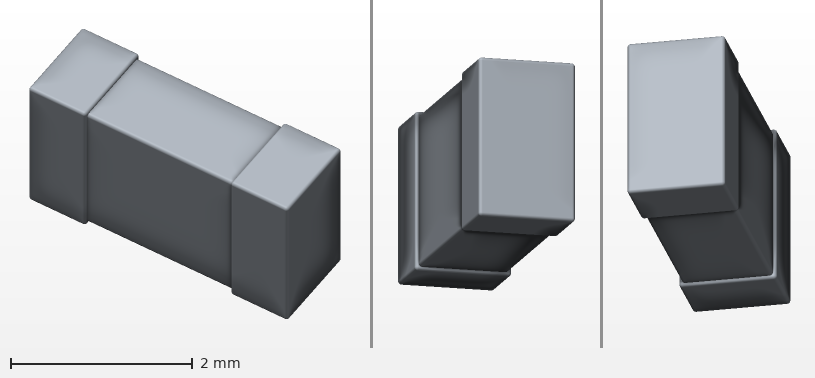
import cadquery as cq

length = 3.4
depth = 1.1
height = 1.8

body_inset = 0.037

terminal_length = 0.75
terminal_edge_radius = body_inset

body_edge_radius = 0.04
body_length = length - 2 * terminal_length
body_depth = depth - 2 * body_inset
body_height = height - 2 * body_inset


def make_body():
    """Central block with rounded long edges and flat ends."""
    return (
        cq.Workplane("XY")
        .box(body_length, body_depth, body_height)
        .edges("|X")
        .fillet(body_edge_radius)
    )


def make_terminal(side):
    """Block rounded on every edge, butting against one end of the body (side is -1 or +1)."""
    center_x = side * (length - terminal_length) / 2
    return (
        cq.Workplane("XY")
        .box(terminal_length, depth, height)
        .edges()
        .fillet(terminal_edge_radius)
        .translate((center_x, 0, 0))
    )


body = make_body()
terminals = [make_terminal(side) for side in (-1, 1)]

result = cq.Compound.makeCompound([body.val(), *(terminal.val() for terminal in terminals)])